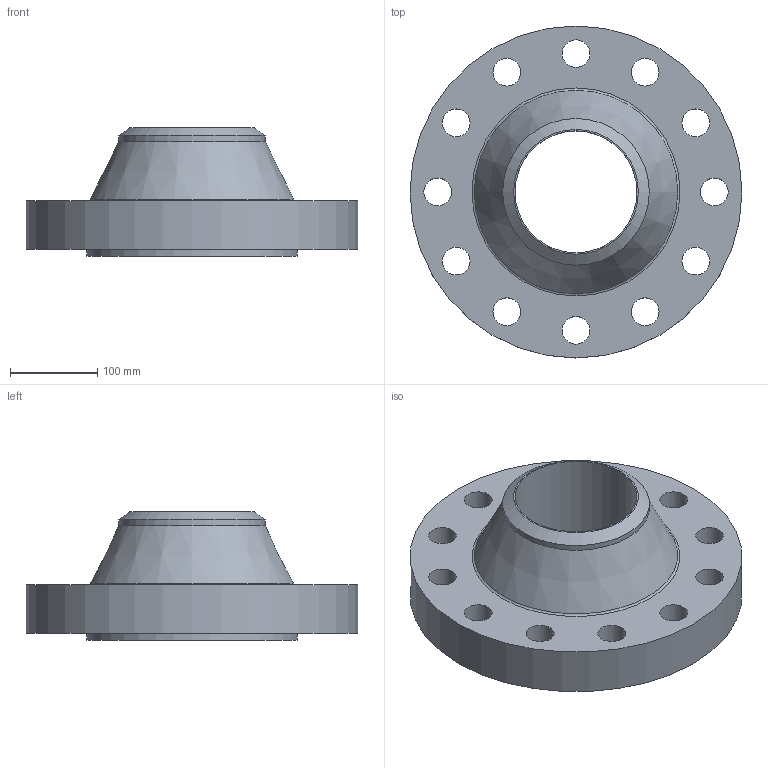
import cadquery as cq

flange_diameter = 381.0
flange_thickness = 55.6

raised_face_diameter = 241.3
raised_face_height = 7.94

total_height = 147.64
hub_base_diameter = 235.0
hub_fillet_radius = 3.0
weld_end_diameter = 168.3
bore_diameter = 140.0
bevel_top_diameter = 143.2
bevel_height = 9.5
straight_neck_height = 6.5

bolt_count = 12
bolt_circle_diameter = 317.5
bolt_hole_diameter = 31.8

raised_face_bottom = -raised_face_height
neck_top = total_height - raised_face_height
bevel_bottom = neck_top - bevel_height
cone_top = bevel_bottom - straight_neck_height


def make_body():
    """Revolve the plate, raised face and neck about Z, bore included."""
    bore_radius = bore_diameter / 2
    raised_face_radius = raised_face_diameter / 2
    flange_radius = flange_diameter / 2
    weld_end_radius = weld_end_diameter / 2
    profile = (
        cq.Workplane("XZ")
        .moveTo(bore_radius, raised_face_bottom)
        .lineTo(raised_face_radius, raised_face_bottom)
        .lineTo(raised_face_radius, 0)
        .lineTo(flange_radius, 0)
        .lineTo(flange_radius, flange_thickness)
        .lineTo(hub_base_diameter / 2, flange_thickness)
        .lineTo(weld_end_radius, cone_top)
        .lineTo(weld_end_radius, bevel_bottom)
        .lineTo(bevel_top_diameter / 2, neck_top)
        .lineTo(bore_radius, neck_top)
        .close()
    )
    return profile.revolve(360, (0, 0, 0), (0, 1, 0))


def round_hub_base(body):
    """Blend the cone into the top of the plate with a concave fillet."""
    reach = hub_base_diameter / 2 + hub_fillet_radius
    hub_base_edge = cq.selectors.BoxSelector(
        (-reach, -reach, flange_thickness - hub_fillet_radius),
        (reach, reach, flange_thickness + hub_fillet_radius),
        boundingbox=True,
    )
    return body.edges(hub_base_edge).fillet(hub_fillet_radius)


def make_bolt_holes():
    """Cylinders through the plate, evenly spaced on the bolt circle."""
    return (
        cq.Workplane("XY")
        .polarArray(bolt_circle_diameter / 2, 0, 360, bolt_count)
        .circle(bolt_hole_diameter / 2)
        .extrude(flange_thickness)
    )


result = round_hub_base(make_body()).cut(make_bolt_holes())